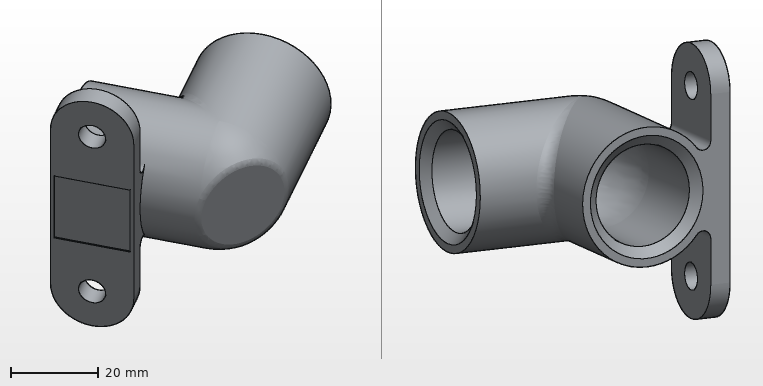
import cadquery as cq
import math

pipe_radius = 16.5
pipe_length = 34.0
corner_flat_fillet = 2.0
crotch_fillet = 3.0

bore_radius = 12.0
bend_radius = 11.5
mouth_radius = 14.5
mouth_depth = 2.0

plate_width = 20.0
plate_height = 65.0
plate_thickness = 5.0
hole_diameter = 6.5
hole_spacing = plate_height - plate_width
pocket_width = 18.2
pocket_height = 18.0
pocket_depth = 0.4

neck_fillet = 2.0

corner = cq.Vector(pipe_length, plate_thickness + pipe_radius, 0)
open_directions = (cq.Vector(-1, 0, 0), cq.Vector(0, 1, 0))
outward = cq.Vector(1, -1, 0).normalized()


def make_pipes():
    """Two crossing cylinders, blended along the inside of the corner."""
    first, second = [
        cq.Workplane(cq.Solid.makeCylinder(pipe_radius, pipe_length, corner, direction))
        for direction in open_directions
    ]
    return first.union(second).edges("%ELLIPSE").fillet(crotch_fillet)


def make_elbow():
    """Pipes with a ball at the corner, cut flat at 45 degrees between the pipe ends."""
    ball = cq.Workplane("XY").sphere(pipe_radius).translate(corner)
    flat_centre = corner + outward * (pipe_radius / math.sqrt(2))
    flat_plane = cq.Plane(flat_centre, (0, 0, 1), outward)
    cutter = cq.Workplane(flat_plane).circle(2 * pipe_radius).extrude(pipe_radius)
    elbow = make_pipes().union(ball).cut(cutter)
    flat = elbow.faces(cq.selectors.DirectionMinMaxSelector(outward))
    return flat.edges().fillet(corner_flat_fillet)


def make_plate():
    """Upright rounded plate, carried by a short neck that runs into the pipe."""
    centre_x = plate_width / 2
    return (
        cq.Workplane("XZ")
        .center(centre_x, 0)
        .slot2D(plate_height, plate_width, 90)
        .extrude(-plate_thickness)
    )


def make_neck():
    """Neck between plate and pipe, its sides concave rounds tangent to both."""
    round_y = plate_thickness + neck_fillet
    round_z = math.sqrt((pipe_radius + neck_fillet) ** 2 - (pipe_radius - neck_fillet) ** 2)
    pipe_share = pipe_radius / (pipe_radius + neck_fillet)
    touch_y = corner.y + (round_y - corner.y) * pipe_share
    touch_z = round_z * pipe_share
    mid_angle = (math.pi + math.atan2(touch_z - round_z, touch_y - round_y) % (2 * math.pi)) / 2
    mid_y = round_y + neck_fillet * math.cos(mid_angle)
    mid_z = round_z + neck_fillet * math.sin(mid_angle)
    return (
        cq.Workplane("YZ")
        .moveTo(plate_thickness, -round_z)
        .threePointArc((mid_y, -mid_z), (touch_y, -touch_z))
        .lineTo(touch_y, touch_z)
        .threePointArc((mid_y, mid_z), (plate_thickness, round_z))
        .close()
        .extrude(plate_width)
    )


def make_bore():
    """Bent passage through the elbow, with a conical flare at each mouth."""
    straight_length = pipe_length - bend_radius
    profile_end = math.sqrt(bore_radius**2 - bend_radius**2)
    bend = (
        cq.Workplane("YZ", origin=(corner.x - bend_radius, corner.y, 0))
        .moveTo(bend_radius, -profile_end)
        .threePointArc((-bore_radius, 0), (bend_radius, profile_end))
        .close()
        .revolve(90, (bend_radius, -0.65), (bend_radius, 0.65))
    )
    bore = cq.Workplane(bend.val().toNURBS())
    for direction in open_directions:
        start = corner + direction * bend_radius
        mouth = corner + direction * pipe_length
        straight = cq.Solid.makeCylinder(bore_radius, straight_length, start, direction)
        flare = cq.Solid.makeCone(mouth_radius, bore_radius, mouth_depth, mouth, -direction)
        bore = bore.union(cq.Workplane(straight)).union(cq.Workplane(flare))
    return bore


def make_plate_cuts():
    """Two screw holes and a shallow rectangular recess in the front face."""
    face = cq.Workplane("XZ").center(plate_width / 2, 0)
    holes = face.rarray(0.65, hole_spacing, 1, 2).circle(hole_diameter / 2).extrude(-plate_thickness)
    return holes.union(face.rect(pocket_width, pocket_height).extrude(-pocket_depth))


result = (
    make_elbow()
    .union(make_plate())
    .union(make_neck())
    .cut(make_bore())
    .cut(make_plate_cuts())
)